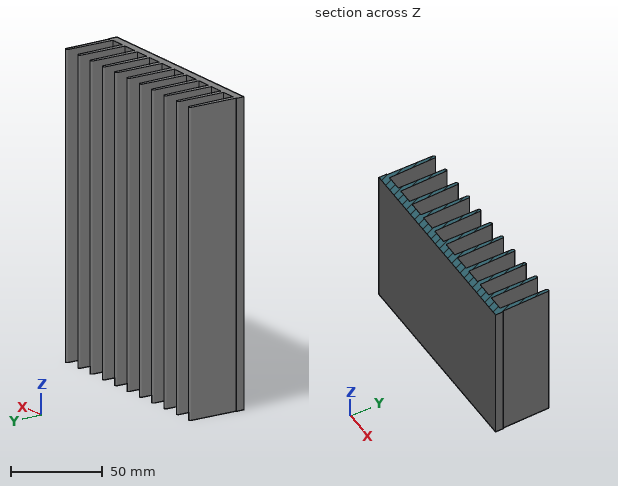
import cadquery as cq

width = 124.0
depth = 35.0
length = 180.0

base_thickness = 5.0
fin_count = 11
outer_fin_inset = 2.0
fin_root_width = 3.0
fin_tip_width = 2.2

fin_pitch = (width - 2 * outer_fin_inset) / (fin_count - 1)
tip_radius = fin_tip_width / 2
tip_start = depth - tip_radius


def make_base():
    """Flat plate with its outer face at Y = 0."""
    return cq.Workplane("XY").box(width, base_thickness, length, centered=(True, False, False))


def make_fin(x):
    """Tapered fin with a round tip, rooted in the plate and centred on x."""
    root = fin_root_width / 2
    return (
        cq.Workplane("XY")
        .moveTo(x - root, 0)
        .lineTo(x - root, base_thickness)
        .lineTo(x - tip_radius, tip_start)
        .threePointArc((x, depth), (x + tip_radius, tip_start))
        .lineTo(x + root, base_thickness)
        .lineTo(x + root, 0)
        .close()
        .extrude(length)
    )


result = make_base()
first_fin_x = -width / 2 + outer_fin_inset
for index in range(fin_count):
    result = result.union(make_fin(first_fin_x + index * fin_pitch))
result = result.clean()